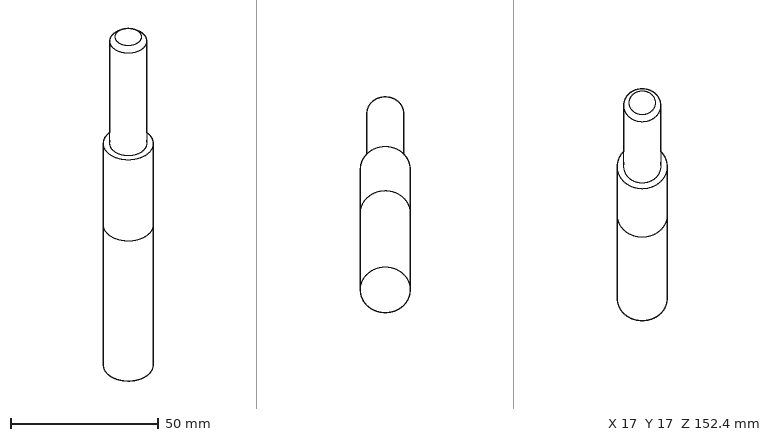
import cadquery as cq
import math

total_length = 152.4
body_diameter = 17.0
shank_diameter = 12.6
point_angle = 118.0
joint_height = 68.1
shoulder_height = 104.5
chamfer_width = 1.8
chamfer_height = 1.8

body_radius = body_diameter / 2
shank_radius = shank_diameter / 2
point_height = body_radius / math.tan(math.radians(point_angle / 2))


def revolve_profile(points):
    """Turn a closed (radius, height) outline about the Z axis."""
    return cq.Workplane("XZ").polyline(points).close().revolve(360, (0, 0), (0, 1))


def make_cutter():
    """Round bar with a conical drill point, its tip at the origin."""
    return revolve_profile([
        (0, 0),
        (body_radius, point_height),
        (body_radius, joint_height),
        (0, joint_height),
    ])


def make_holder():
    """Round bar stepping down to a thinner shank with a chamfered end."""
    return revolve_profile([
        (0, joint_height),
        (body_radius, joint_height),
        (body_radius, shoulder_height),
        (shank_radius, shoulder_height),
        (shank_radius, total_length - chamfer_height),
        (shank_radius - chamfer_width, total_length),
        (0, total_length),
    ])


cutter = make_cutter()
holder = make_holder()
result = cq.Compound.makeCompound([cutter.val(), holder.val()])